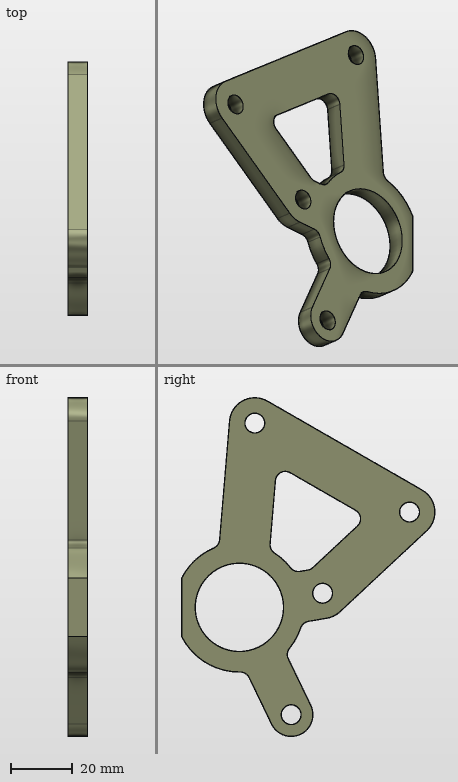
import cadquery as cq
import math

thickness = 6.35

bore_diameter = 28.57
ring_radius = 21.0
flat_distance = 18.75

screw_diameter = 6.35
bore_center = (0.0, 0.0)
top_hole = (5.0, 59.75)
side_hole = (55.17, 30.9)
middle_hole = (26.98, 4.58)
foot_hole = (16.79, -34.8)

frame_half_width = 8.25
foot_half_width = 7.07

corner_fillet = 3.175


def plate_sketch():
    """Workplane whose local axes are Y and Z, extruding along +X."""
    return cq.Workplane("YZ")


def frame_centerline():
    """Closed line through the frame holes and the bore centre."""
    return plate_sketch().polyline([bore_center, top_hole, side_hole, middle_hole]).close()


def make_ring_disc():
    return plate_sketch().circle(ring_radius).extrude(thickness)


def make_foot_arm():
    """Round-ended bar from the bore centre to the foot hole."""
    foot_y, foot_z = foot_hole
    arm_length = math.hypot(foot_y, foot_z)
    arm_angle = math.degrees(math.atan2(foot_z, foot_y))
    return (
        plate_sketch()
        .center(foot_y / 2, foot_z / 2)
        .slot2D(arm_length + 2 * foot_half_width, 2 * foot_half_width, arm_angle)
        .extrude(thickness)
    )


def arm_ring_corner(arm_end, half_width, side):
    """Point where one side of an arm leaves the ring; side is +1 (left of the arm) or -1."""
    arm_length = math.hypot(*arm_end)
    along_y = arm_end[0] / arm_length
    along_z = arm_end[1] / arm_length
    reach = math.sqrt(ring_radius**2 - half_width**2)
    offset = side * half_width
    return (
        thickness / 2,
        along_y * reach - along_z * offset,
        along_z * reach + along_y * offset,
    )


def make_outline():
    """Frame, ring and foot arm joined, with the inside corners at the ring rounded."""
    frame = frame_centerline().offset2D(frame_half_width, "arc").extrude(thickness)
    outline = frame.union(make_ring_disc()).union(make_foot_arm())
    corners = [
        arm_ring_corner(top_hole, frame_half_width, -1),
        arm_ring_corner(middle_hole, frame_half_width, -1),
        arm_ring_corner(foot_hole, foot_half_width, -1),
        arm_ring_corner(foot_hole, foot_half_width, 1),
    ]
    for corner in corners:
        outline = outline.edges(cq.selectors.NearestToPointSelector(corner)).fillet(corner_fillet)
    return outline


def make_window():
    """Opening inside the frame bars, bounded below by the ring."""
    opening = frame_centerline().offset2D(-frame_half_width).extrude(thickness)
    return opening.cut(make_ring_disc()).edges("|X").fillet(corner_fillet)


def make_holes():
    screw_holes = (
        plate_sketch()
        .pushPoints([top_hole, side_hole, middle_hole, foot_hole])
        .circle(screw_diameter / 2)
        .extrude(thickness)
    )
    return screw_holes.union(plate_sketch().circle(bore_diameter / 2).extrude(thickness))


def make_flat_cut():
    """Block that trims the ring to the flat on its -Y side."""
    trim_depth = ring_radius - flat_distance
    return (
        plate_sketch()
        .center(-flat_distance - trim_depth / 2, 0)
        .rect(trim_depth, 2 * ring_radius)
        .extrude(thickness)
    )


result = make_outline().cut(make_window()).cut(make_holes()).cut(make_flat_cut())